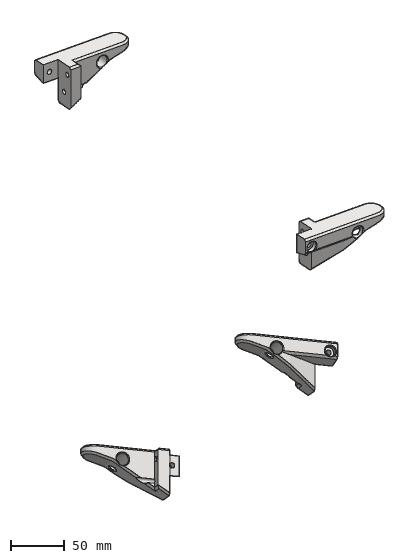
import cadquery as cq
import math


PAIR_WIDTH = 427.5
LENGTH = 97.0
HEIGHT = 45.5
EDGE_CHAMFER = 2.0

ARM_WIDTH = 24.8
TIP_RADIUS = ARM_WIDTH / 2
TAIL_WIDTH = 14.0
TAIL_LENGTH = 17.0
PLATE_REACH = 34.0
PLATE_THICKNESS = 12.0
PLATE_FRONT = LENGTH - TAIL_LENGTH
PLATE_BACK = PLATE_FRONT - PLATE_THICKNESS

TIP_DEPTH = 7.5
STEEP_ANGLE = 30.0
BEND_ALONG = 26.5
BEND_DEPTH = HEIGHT - (PLATE_FRONT - BEND_ALONG) * math.tan(math.radians(STEEP_ANGLE))

RELIEF_START = 36.8
RELIEF_BEND = 50.5
RELIEF_BEND_INSET = 2.0
RELIEF_SIDE_DEPTH = 14.0
RELIEF_ROOF_ANGLE = 15.0

ARM_HOLE_DIAMETER = 12.0
ARM_HOLE_ALONG = 36.5
ARM_HOLE_DEPTH = 12.0
TAIL_HOLE_DIAMETER = 5.0
TAIL_BORE_DIAMETER = 10.3
TAIL_BORE_DEPTH = 5.0
TAIL_HOLE_ALONG = 89.7
TAIL_HOLE_DEPTH = 10.0

MOUTH_CHAMFER = 1.0

DRAIN_DIAMETER = 7.5
DRAIN_ACROSS = 9.0
DRAIN_ALONG = 32.0

PLATE_HOLE_DIAMETER = 4.5
PLATE_HOLES = [(28.5, 10.0), (23.5, 30.5)]

TOLERANCE = 0.05


def bracket_blank():
    """The plan outline carried down to the sloped underside."""
    plan = (
        cq.Workplane("XY")
        .moveTo(0, -TIP_RADIUS)
        .threePointArc((TIP_RADIUS, 0), (ARM_WIDTH, -TIP_RADIUS))
        .lineTo(ARM_WIDTH, -PLATE_BACK)
        .lineTo(PLATE_REACH, -PLATE_BACK)
        .lineTo(PLATE_REACH, -PLATE_FRONT)
        .lineTo(TAIL_WIDTH, -PLATE_FRONT)
        .lineTo(TAIL_WIDTH, -LENGTH)
        .lineTo(0, -LENGTH)
        .close()
        .extrude(-HEIGHT)
    )
    side_profile = (
        cq.Workplane("YZ")
        .polyline(
            [
                (0, 0),
                (0, -TIP_DEPTH),
                (-BEND_ALONG, -BEND_DEPTH),
                (-PLATE_FRONT, -HEIGHT),
                (-LENGTH, -HEIGHT),
                (-LENGTH, 0),
            ]
        )
        .close()
        .extrude(PLATE_REACH)
    )
    return plan.intersect(side_profile)


def outer_relief():
    """The space under the tail and beside the gusset that tapers toward the plate."""
    plan = (
        cq.Workplane("XY")
        .polyline(
            [
                (0, -RELIEF_START),
                (RELIEF_BEND_INSET, -RELIEF_BEND),
                (TAIL_WIDTH, -PLATE_FRONT),
                (TAIL_WIDTH, -LENGTH),
                (0, -LENGTH),
            ]
        )
        .close()
        .extrude(-HEIGHT)
    )
    roof_angle = math.radians(RELIEF_ROOF_ANGLE)
    side_corner_depth = RELIEF_SIDE_DEPTH + EDGE_CHAMFER
    chamfer_inset = EDGE_CHAMFER * math.cos(roof_angle)
    chamfer_depth = side_corner_depth + EDGE_CHAMFER * math.sin(roof_angle)
    inner_depth = side_corner_depth + TAIL_WIDTH * math.tan(roof_angle)
    section = (
        cq.Workplane("XZ")
        .polyline(
            [
                (0, -RELIEF_SIDE_DEPTH),
                (chamfer_inset, -chamfer_depth),
                (TAIL_WIDTH, -inner_depth),
                (TAIL_WIDTH, -HEIGHT),
                (0, -HEIGHT),
            ]
        )
        .close()
        .extrude(LENGTH)
    )
    return plan.intersect(section)


def is_chamfered(edge):
    """True for the edges of the top and underside, except at -Y faces and the tail's inner side."""
    box = edge.BoundingBox()
    on_top = box.zmin > -TOLERANCE
    underside_depth = max(
        TIP_DEPTH + (BEND_DEPTH - TIP_DEPTH) * -box.ymin / BEND_ALONG,
        BEND_DEPTH + (-box.ymin - BEND_ALONG) * math.tan(math.radians(STEEP_ANGLE)),
    )
    on_underside = abs(box.zmin + underside_depth) < TOLERANCE and box.ymin > -PLATE_FRONT - TOLERANCE
    runs_across = box.ylen < TOLERANCE
    is_plate_back = runs_across and abs(box.ymin + PLATE_BACK) < TOLERANCE
    runs_along = box.xlen < TOLERANCE
    is_upright = runs_along and runs_across
    is_on_tail = box.ymax < -PLATE_FRONT + TOLERANCE
    is_tail_inner_side = runs_along and is_on_tail and box.xmin > TOLERANCE
    if is_upright or is_tail_inner_side:
        return False
    return (on_top or on_underside) and (not runs_across or is_plate_back)


def chamfer_edges(body):
    edges = [edge for edge in body.edges().vals() if is_chamfered(edge)]
    return body.newObject(edges).chamfer(EDGE_CHAMFER)


def cross_hole(along, depth, diameter, start, end):
    """A cylinder along X between two distances from the outer side."""
    return (
        cq.Workplane("YZ", origin=(start, -along, -depth)).circle(diameter / 2).extrude(end - start)
    )


def hole_mouth(along, depth, diameter, face, inward):
    """The cone that widens a hole along X where it opens at a side face."""
    return (
        cq.Workplane("YZ", origin=(face, -along, -depth))
        .circle(diameter / 2 + MOUTH_CHAMFER)
        .workplane(offset=inward * MOUTH_CHAMFER)
        .circle(diameter / 2)
        .loft()
    )


def arm_hole():
    """A hole straight through the arm, widened at both ends."""
    place = (ARM_HOLE_ALONG, ARM_HOLE_DEPTH, ARM_HOLE_DIAMETER)
    return (
        cross_hole(*place, 0, ARM_WIDTH)
        .union(hole_mouth(*place, 0, 1))
        .union(hole_mouth(*place, ARM_WIDTH, -1))
    )


def tail_hole():
    """A hole through the tail with a counterbore whose mouth is widened."""
    hole = (TAIL_HOLE_ALONG, TAIL_HOLE_DEPTH, TAIL_HOLE_DIAMETER)
    bore = (TAIL_HOLE_ALONG, TAIL_HOLE_DEPTH, TAIL_BORE_DIAMETER)
    return (
        cross_hole(*hole, 0, TAIL_WIDTH)
        .union(cross_hole(*bore, 0, TAIL_BORE_DEPTH))
        .union(hole_mouth(*bore, 0, 1))
    )


def drain_hole():
    """A vertical hole from the arm hole down through the underside."""
    return (
        cq.Workplane("XY", origin=(DRAIN_ACROSS, -DRAIN_ALONG, -ARM_HOLE_DEPTH))
        .circle(DRAIN_DIAMETER / 2)
        .extrude(-HEIGHT)
    )


def plate_hole(across, depth):
    """A cylinder along Y through the plate and the arm behind it."""
    return (
        cq.Workplane("XZ").center(across, -depth).circle(PLATE_HOLE_DIAMETER / 2).extrude(LENGTH)
    )


def bracket():
    body = chamfer_edges(bracket_blank().cut(outer_relief()))
    body = body.cut(arm_hole()).cut(drain_hole()).cut(tail_hole())
    for across, depth in PLATE_HOLES:
        body = body.cut(plate_hole(across, depth))
    return body


left_bracket = bracket().translate((-PAIR_WIDTH / 2, 0, 0))
right_bracket = left_bracket.mirror("YZ")

result = cq.Compound.makeCompound([left_bracket.val(), right_bracket.val()])